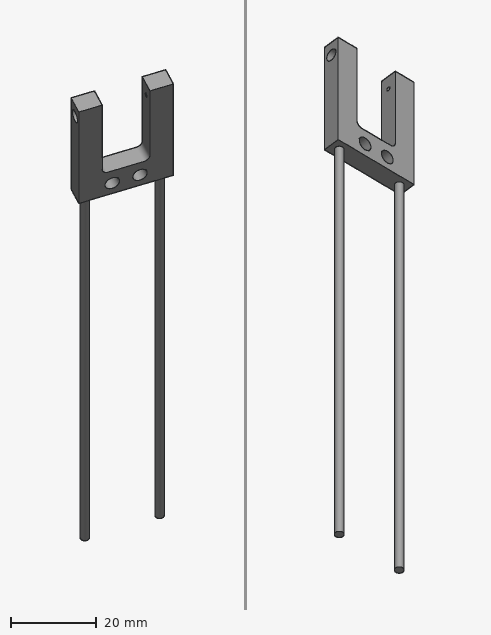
import cadquery as cq

total_height = 152.0
housing_thickness = 4.9
housing_width = 23.9
housing_height = 31.9
housing_bottom = total_height - housing_height

slot_width = 12.0
slot_depth = 24.0
slot_corner_radius = 1.5
slot_floor = total_height - slot_depth

mount_hole_diameter = 3.6
mount_hole_spacing = 7.0
mount_hole_height = 3.6

beam_drop = 4.0
beam_diameter = 1.0
lens_recess_diameter = 3.2
lens_recess_depth = 2.3
beam_height = total_height - beam_drop

cable_diameter = 2.3
cable_spacing = 18.8


def fork_body():
    """U-shaped block with rounded corners at the slot floor."""
    block = cq.Workplane("XY").workplane(offset=housing_bottom).rect(
        housing_thickness, housing_width
    ).extrude(housing_height)
    slot = cq.Workplane("XY").workplane(offset=slot_floor).rect(
        housing_thickness, slot_width
    ).extrude(slot_depth)
    slot = slot.edges("|X and <Z").fillet(slot_corner_radius)
    return block.cut(slot)


def mount_holes():
    """Two round cutters along X, side by side in the base."""
    return (
        cq.Workplane("YZ", origin=(0, 0, housing_bottom + mount_hole_height))
        .rarray(mount_hole_spacing, 1.5, 2, 1)
        .circle(mount_hole_diameter / 2)
        .extrude(housing_thickness / 2, both=True)
    )


def beam_passage():
    """Narrow bore along Y with a wider recess at each end."""
    outer_face = housing_width / 2
    plane = cq.Workplane("XZ", origin=(0, 0, beam_height))
    passage = plane.circle(beam_diameter / 2).extrude(outer_face, both=True)
    recess = (
        plane.workplane(offset=outer_face - lens_recess_depth)
        .circle(lens_recess_diameter / 2)
        .extrude(lens_recess_depth)
    )
    return passage.union(recess).union(recess.mirror("XZ"))


def make_housing():
    return fork_body().cut(mount_holes()).cut(beam_passage())


def make_cable(side):
    """Round cable hanging from the housing; side is -1 or 1 along Y."""
    return (
        cq.Workplane("XY")
        .center(0, side * cable_spacing / 2)
        .circle(cable_diameter / 2)
        .extrude(housing_bottom)
    )


housing = make_housing()
cables = [make_cable(side).val() for side in (-1, 1)]

result = cq.Compound.makeCompound([housing.val(), *cables])